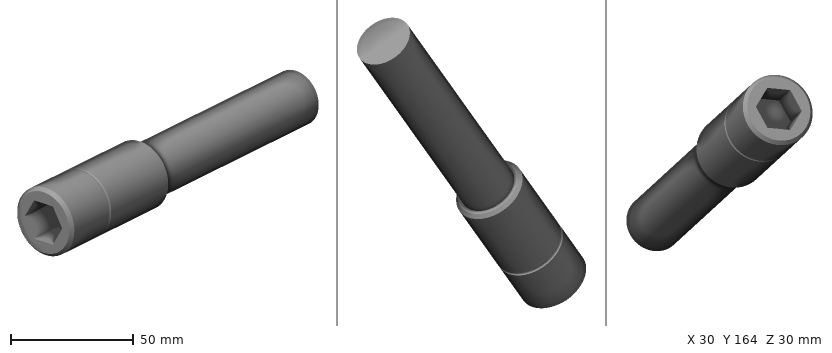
import cadquery as cq
import math

total_length = 164.0
collar_diameter = 30.0
shaft_diameter = 24.0
head_length = 24.0
shoulder_from_front = 64.0
chamfer = 1.5

hex_across_flats = 17.0
hex_depth = 15.0

collar_radius = collar_diameter / 2
shaft_radius = shaft_diameter / 2
hex_across_corners = hex_across_flats / math.cos(math.radians(30))
front_y = -total_length / 2
joint_y = front_y + head_length
shoulder_y = front_y + shoulder_from_front
back_y = front_y + total_length


def cylinder_along_y(radius, start_y, end_y):
    """Solid cylinder on the Y axis between two Y positions."""
    return (
        cq.Workplane("XZ", origin=(0, start_y, 0))
        .circle(radius)
        .extrude(start_y - end_y)
    )


def make_head():
    """Front plug with a chamfered rim and a blind hexagon socket."""
    head = cylinder_along_y(collar_radius, front_y, joint_y).faces("<Y").chamfer(chamfer)
    socket = (
        cq.Workplane("XZ", origin=(0, front_y, 0))
        .polygon(6, hex_across_corners)
        .extrude(-hex_depth)
    )
    return head.cut(socket)


def make_stem():
    """Collar chamfered at both ends, continuing as a plain shaft."""
    collar = cylinder_along_y(collar_radius, joint_y, shoulder_y).faces("<Y or >Y").chamfer(chamfer)
    shaft = cylinder_along_y(shaft_radius, shoulder_y, back_y)
    return collar.union(shaft)


head = make_head()
stem = make_stem()

result = cq.Compound.makeCompound([head.val(), stem.val()])